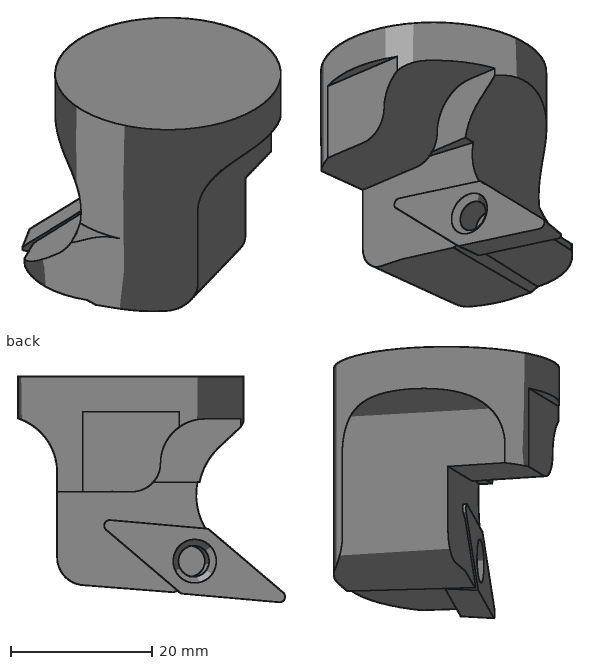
import cadquery as cq
import math

shank_diameter = 32.0
shank_radius = shank_diameter / 2
body_depth = 34.1
cutter_size = 75.75

right_relief_top = -5.55
right_relief_radius = 8.0
left_relief_top = -6.02
corner_radius = 4.0
right_wall_x = 10.45
left_wall_x = -4.2
back_flat_y = 14.45
back_flat_top = -5.0
head_back_y = 3.65
arm_bottom = -16.32
left_relief_radius = left_relief_top - arm_bottom - corner_radius

bottom_angle = 4.5
bottom_z = -30.1

jaw_shift = 5.07
jaw_top = -18.65
jaw_slope = 60.0

turn_angle = 9.0

gullet_radius = 9.3
gullet_centre = (-18.2, -16.78)
gullet_roof_angle = 46.5
gullet_floor_angle = 40.5
jaw_tip = -19.45
jaw_tip_lean = 22.0

heel_start = -5.68
heel_end = -7.5
heel_step = 0.75

rake_offset = 3.5
seat_setback = 0.3
seat_top = -14.95
insert_thickness = 4.77
insert_edge = 16.6
insert_angle = 35.0
insert_tilt = 5.0
insert_relief = 5.0
nose_radius = 0.8
nose_centre = (-20.8, -31.2)
bisector = insert_tilt + insert_angle / 2
tip_distance = nose_radius / math.sin(math.radians(insert_angle / 2))
screw_hole_diameter = 4.4
screw_sink_diameter = 6.17


def polar(start, length, angle):
    """Point at a distance and an angle in degrees from a start point."""
    turn = math.radians(angle)
    return start[0] + length * math.cos(turn), start[1] + length * math.sin(turn)


def block(x_min, x_max, y_min, y_max, z_min, z_max):
    size = (x_max - x_min, y_max - y_min, z_max - z_min)
    return cq.Workplane("XY").box(*size, centered=False).translate((x_min, y_min, z_min))


def turned_plane(offset):
    """Upright plane turned about Z: local x runs along the cut, local y up, normal to the front."""
    turn = math.radians(turn_angle)
    along = (math.cos(turn), math.sin(turn), 0)
    normal = (math.sin(turn), -math.cos(turn), 0)
    origin = (-offset * normal[0], -offset * normal[1], 0)
    return cq.Workplane(cq.Plane(origin=origin, xDir=along, normal=normal))


def make_jaw():
    """Shank outline swept sideways, its top sloping down as a cone round the shank axis."""
    shifted_cylinder = (
        cq.Workplane("XY").workplane(offset=-body_depth)
        .circle(shank_radius).extrude(body_depth + jaw_top)
        .translate((-jaw_shift, 0, 0))
    )
    bridge = block(-jaw_shift, 0, -shank_radius, shank_radius, -body_depth, jaw_top)
    cone_depth = body_depth + jaw_top
    cone_bottom_radius = shank_radius + cone_depth / math.tan(math.radians(jaw_slope))
    cone = cq.Workplane(cq.Solid.makeCone(
        cone_bottom_radius, shank_radius, cone_depth, pnt=cq.Vector(0, 0, -body_depth)))
    return shifted_cylinder.union(bridge).intersect(cone)


def right_relief():
    """Side cut with a concave upper blend, a wall, and a rounded lower corner."""
    slope = math.radians(bottom_angle)
    edge_z = bottom_z + right_wall_x * math.tan(slope)
    corner_start = edge_z + corner_radius * math.tan((math.pi / 2 - slope) / 2)
    corner_end = polar((right_wall_x - corner_radius, corner_start), corner_radius, bottom_angle - 90)
    corner_middle = polar((right_wall_x - corner_radius, corner_start), corner_radius,
                          (bottom_angle - 90) / 2)
    blend_centre = (right_wall_x + right_relief_radius, right_relief_top - right_relief_radius)
    return (
        cq.Workplane("XZ").moveTo(cutter_size, right_relief_top)
        .lineTo(blend_centre[0], right_relief_top)
        .threePointArc(polar(blend_centre, right_relief_radius, 135), (right_wall_x, blend_centre[1]))
        .lineTo(right_wall_x, corner_start)
        .threePointArc(corner_middle, corner_end)
        .lineTo(corner_end[0], -cutter_size).lineTo(cutter_size, -cutter_size).close()
        .extrude(cutter_size, both=True)
    )


def left_relief():
    """Clears the space behind the cutting head, leaving an arm with a rounded lower corner."""
    blend_centre = (left_wall_x - left_relief_radius, left_relief_top - left_relief_radius)
    corner_centre = (left_wall_x + corner_radius, arm_bottom + corner_radius)
    return (
        cq.Workplane("XZ", origin=(0, head_back_y, 0)).moveTo(-cutter_size, left_relief_top)
        .lineTo(blend_centre[0], left_relief_top)
        .threePointArc(polar(blend_centre, left_relief_radius, 45), (left_wall_x, blend_centre[1]))
        .threePointArc(polar(corner_centre, corner_radius, 225), (corner_centre[0], arm_bottom))
        .lineTo(cutter_size, arm_bottom).lineTo(cutter_size, -cutter_size)
        .lineTo(-cutter_size, -cutter_size).close()
        .extrude(-cutter_size)
    )


def bottom_cut():
    """Everything below the sloping bottom."""
    rise = cutter_size * math.tan(math.radians(bottom_angle))
    return (
        cq.Workplane("XZ").moveTo(cutter_size, bottom_z + rise)
        .lineTo(-cutter_size, bottom_z - rise)
        .lineTo(-cutter_size, -2 * cutter_size).lineTo(cutter_size, -2 * cutter_size).close()
        .extrude(cutter_size, both=True)
    )


def heel_cut():
    """Raises the bottom under the jaw; its slanting end wall follows the cutting direction."""
    slope = math.tan(math.radians(bottom_angle))
    return (
        turned_plane(0).moveTo(heel_start, bottom_z + heel_start * slope)
        .lineTo(heel_end, bottom_z + heel_end * slope + heel_step)
        .lineTo(-cutter_size, bottom_z - cutter_size * slope + heel_step)
        .lineTo(-cutter_size, -cutter_size).lineTo(heel_start, -cutter_size).close()
        .extrude(cutter_size, both=True)
    )


def gullet():
    """Chip space: straight roof, round back and straight floor, ending at the jaw tip."""
    roof_end = polar(gullet_centre, gullet_radius, gullet_roof_angle)
    floor_end = polar(gullet_centre, gullet_radius, gullet_floor_angle - 90)
    floor_length = (floor_end[0] - jaw_tip) / math.cos(math.radians(gullet_floor_angle))
    tip = polar(floor_end, floor_length, 180 + gullet_floor_angle)
    return (
        turned_plane(0).moveTo(*polar(roof_end, cutter_size, 90 + gullet_roof_angle))
        .lineTo(*roof_end)
        .threePointArc(polar(gullet_centre, gullet_radius, 0), floor_end)
        .lineTo(*tip)
        .lineTo(*polar(tip, cutter_size, jaw_tip_lean - 90)).lineTo(-cutter_size, -cutter_size).close()
        .extrude(cutter_size, both=True)
    )


def seat_cut():
    """Sets the head back from the rake face; the arm behind the head is left whole."""
    head_space = block(-cutter_size, cutter_size, -cutter_size, head_back_y, -cutter_size, seat_top)
    return head_space.intersect(
        turned_plane(rake_offset - seat_setback)
        .moveTo(-cutter_size, seat_top).lineTo(cutter_size, seat_top)
        .lineTo(cutter_size, -cutter_size).lineTo(-cutter_size, -cutter_size).close()
        .extrude(-2 * cutter_size)
    )


def insert_blank():
    """Rhombic plate with rounded sharp corners, tapering away from the rake face."""
    tip = polar(nose_centre, -tip_distance, bisector)
    tangent = nose_radius / math.tan(math.radians(insert_angle / 2))
    lower = polar(tip, insert_edge, insert_tilt)
    upper = polar(tip, insert_edge, insert_tilt + insert_angle)
    rear = polar(lower, insert_edge, insert_tilt + insert_angle)
    rear_centre = polar(rear, -tip_distance, bisector)
    return (
        turned_plane(rake_offset)
        .moveTo(*polar(tip, tangent, insert_tilt)).lineTo(*lower)
        .lineTo(*polar(rear, -tangent, insert_tilt + insert_angle))
        .threePointArc(polar(rear_centre, nose_radius, bisector), polar(rear, -tangent, insert_tilt))
        .lineTo(*upper)
        .lineTo(*polar(tip, tangent, insert_tilt + insert_angle))
        .threePointArc(polar(nose_centre, -nose_radius, bisector), polar(tip, tangent, insert_tilt))
        .close().extrude(insert_thickness, taper=insert_relief)
    )


def screw_hole():
    """Through hole at the centre of the rhombus, countersunk at the rake face."""
    half_diagonal = insert_edge * math.cos(math.radians(insert_angle / 2))
    centre = polar(nose_centre, half_diagonal - tip_distance, bisector)
    sink_angle = 45
    sink_depth = (screw_sink_diameter - screw_hole_diameter) / 2
    hole = turned_plane(rake_offset).center(*centre).circle(screw_hole_diameter / 2)
    sink = turned_plane(rake_offset).center(*centre).circle(screw_sink_diameter / 2)
    return hole.extrude(insert_thickness).union(sink.extrude(sink_depth, taper=sink_angle))


def make_holder():
    shank = cq.Workplane("XY").circle(shank_radius).extrude(-body_depth)
    back_flat = block(-cutter_size, cutter_size, back_flat_y, cutter_size, -cutter_size, back_flat_top)
    holder = shank.union(make_jaw())
    cutters = [right_relief(), left_relief(), back_flat, bottom_cut(), heel_cut(), gullet(), seat_cut()]
    for cutter in cutters:
        holder = holder.cut(cutter)
    return holder.cut(insert_blank())


def make_insert():
    return insert_blank().cut(screw_hole())


holder = make_holder()
insert = make_insert()
result = cq.Compound.makeCompound([*holder.vals(), *insert.vals()])